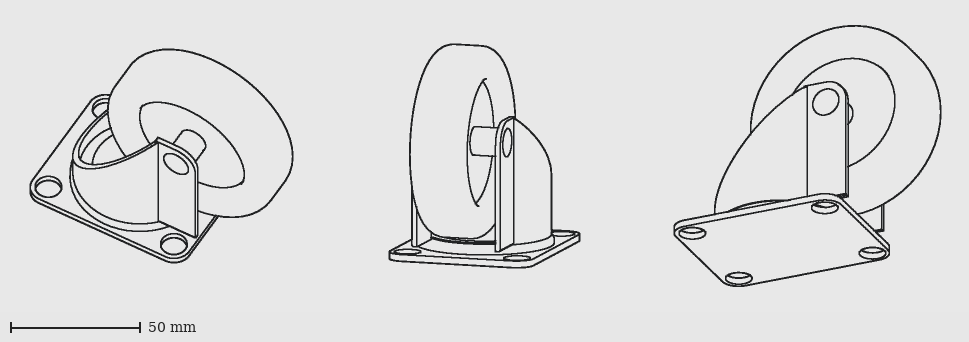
import cadquery as cq
import math

overall_length = 99.3
overall_height = 84.3

plate_length = 69.9
plate_width = 58.1
plate_thickness = 2.7
plate_corner_radius = 6.8
mount_hole_diameter = 10.2
mount_hole_x = 7.0
mount_hole_y = 22.1
far_hole_x = 63.0
offset_hole_x = 63.3
offset_hole_y = 22.5

swivel_x = plate_length / 2
ring_diameter = 53.9
ring_height = 3.4
ring_fillet = 2.1

fork_radius = 25.9
fork_wall = 2.3
fork_inner_radius = fork_radius - fork_wall
fork_bottom = plate_thickness + ring_height
fork_front_height = 5.8
floor_thickness = 0.5
floor_lip_radius = 22.25
boss_diameter = 36.9
boss_height = 3.7
boss_fillet = 1.4

lug_outer_y = 18.0
lug_thickness = 2.0
lug_inner_y = lug_outer_y - lug_thickness
lug_end_radius = 8.5
lug_chamfer = 0.5

axle_diameter = 11.0
axle_x = 61.6
axle_z = 47.4
lug_top = axle_z + lug_end_radius
wall_height = lug_top - fork_bottom

wheel_diameter = 74.7
wheel_width = 21.6
wheel_x = overall_length - wheel_diameter / 2
wheel_z = overall_height - wheel_diameter / 2
tread_fillet = 5.4
recess_diameter = 48.8
recess_depth = 6.2
recess_lip_fillet = 3.6


def cylinder(radius, bottom, height):
    """Upright cylinder on the swivel axis."""
    return cq.Workplane("XY").center(swivel_x, 0).workplane(offset=bottom).circle(radius).extrude(height)


def cross_cylinder(diameter, x, z, y_from, y_to):
    """Cylinder parallel to Y."""
    plane = cq.Workplane("XZ", origin=(x, y_from, z))
    return plane.circle(diameter / 2).extrude(y_from - y_to)


def make_base():
    plate = cq.Workplane("XY").center(swivel_x, 0).rect(plate_length, plate_width).extrude(plate_thickness)
    plate = plate.edges("|Z").fillet(plate_corner_radius)
    holes = [
        (mount_hole_x, mount_hole_y),
        (mount_hole_x, -mount_hole_y),
        (far_hole_x, -mount_hole_y),
        (offset_hole_x, offset_hole_y),
    ]
    cutters = cq.Workplane("XY").pushPoints(holes).circle(mount_hole_diameter / 2).extrude(plate_thickness)
    ring = cylinder(ring_diameter / 2, plate_thickness, ring_height).faces(">Z").edges().fillet(ring_fillet)
    return plate.union(ring).cut(cutters)


def block_behind(start_x, half_width):
    """Cutting block over the fork height, running from start_x toward +X."""
    block = cq.Workplane("XY").box(fork_radius, 2 * half_width, wall_height, centered=(False, True, False))
    return block.translate((start_x, 0, fork_bottom))


def make_shell():
    """C-shaped wall, open between the lugs and cut off by a slope."""
    shell = cylinder(fork_radius, fork_bottom, wall_height)
    shell = shell.cut(cylinder(fork_inner_radius, fork_bottom, wall_height))
    lug_start_x = swivel_x + math.sqrt(fork_radius**2 - lug_outer_y**2)
    front_x = swivel_x - fork_radius
    slope = (
        cq.Workplane("XZ")
        .moveTo(front_x, fork_bottom + fork_front_height)
        .lineTo(lug_start_x, lug_top)
        .lineTo(front_x, lug_top)
        .close()
        .extrude(fork_radius, both=True)
    )
    shell = shell.cut(block_behind(swivel_x, lug_inner_y))
    return shell.cut(block_behind(lug_start_x, fork_radius)).cut(slope)


def make_lug(side):
    """Flat lug with a rounded upper end; side is -1 or +1 along Y."""
    start_x = swivel_x + math.sqrt(fork_inner_radius**2 - lug_inner_y**2)
    end_x = axle_x + lug_end_radius
    diagonal = lug_end_radius * math.sqrt(0.5)
    lug = (
        cq.Workplane("XZ", origin=(0, -lug_inner_y, 0))
        .moveTo(start_x, fork_bottom)
        .lineTo(end_x, fork_bottom)
        .lineTo(end_x, axle_z)
        .threePointArc((axle_x + diagonal, axle_z + diagonal), (axle_x, lug_top))
        .lineTo(start_x, lug_top)
        .close()
        .extrude(lug_thickness)
    )
    lug = lug.faces("<Y").edges("<Z").chamfer(lug_chamfer)
    return lug if side < 0 else lug.mirror("XZ")


def make_fork():
    fork = make_shell()
    for side in (-1, 1):
        fork = fork.union(make_lug(side))
    boss_total = floor_thickness + boss_height
    boss = cylinder(boss_diameter / 2, fork_bottom, boss_total).faces(">Z").edges().fillet(boss_fillet)
    floor = cylinder(fork_inner_radius, fork_bottom, floor_thickness)
    floor = floor.cut(block_behind(swivel_x, lug_inner_y))
    floor = floor.union(cylinder(floor_lip_radius, fork_bottom, floor_thickness))
    fork = fork.union(floor).union(boss)
    return fork.cut(cross_cylinder(axle_diameter, axle_x, axle_z, -lug_outer_y, lug_outer_y))


def make_wheel():
    half = wheel_width / 2
    wheel = cross_cylinder(wheel_diameter, wheel_x, wheel_z, -half, half).edges().fillet(tread_fillet)
    for side in (-1, 1):
        recess = cross_cylinder(recess_diameter, wheel_x, wheel_z, side * half, side * (half - recess_depth))
        wheel = wheel.cut(recess)
        face = "<Y" if side < 0 else ">Y"
        wheel = wheel.faces(face).edges(cq.selectors.RadiusNthSelector(0)).fillet(recess_lip_fillet)
    return wheel.cut(cross_cylinder(axle_diameter, axle_x, axle_z, -half, half))


def make_axle():
    return cross_cylinder(axle_diameter, axle_x, axle_z, -lug_outer_y, lug_outer_y)


base = make_base()
fork = make_fork()
wheel = make_wheel()
axle = make_axle()
result = cq.Compound.makeCompound([base.val(), fork.val(), wheel.val(), axle.val()])